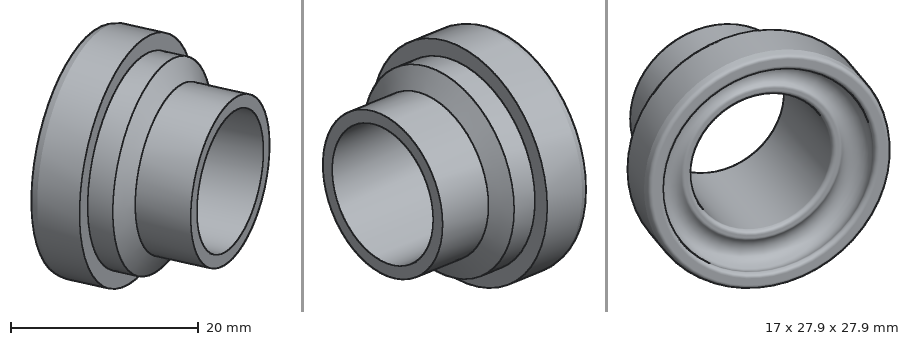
import cadquery as cq
import math

total_length = 17.0
flange_end = 6.0
shoulder_end = 8.98
cone_end = 10.4
rim_taper_end = 0.98

flange_radius = 13.95
shoulder_radius = 12.0
spigot_radius = 19.0 / 2
bore_radius = 16.0 / 2

edge_radius = 0.5
rim_taper_angle = math.radians(15)
cavity_mouth_radius = 11.97
undercut_angle = math.radians(15)
lip_outer_radius = 8.82
lip_turn = math.radians(40)


def on_circle(center, radius, angle):
    """Point (x, r) on a circle, with the angle measured from the +X direction."""
    return (center[0] + radius * math.cos(angle), center[1] + radius * math.sin(angle))


rim_round_rise = edge_radius * math.cos(rim_taper_angle)
rim_round_depth = edge_radius * (1 - math.sin(rim_taper_angle))
taper_rise = (rim_taper_end - rim_round_depth) * math.tan(rim_taper_angle)
rim_center = (edge_radius, flange_radius - taper_rise - rim_round_rise)
rim_end_angle = math.pi / 2 + rim_taper_angle
rim_mid_angle = (math.pi + rim_end_angle) / 2

mouth_center = (edge_radius, cavity_mouth_radius + edge_radius)
mouth_end_angle = undercut_angle - math.pi / 2
mouth_mid_angle = (mouth_end_angle - math.pi) / 2
mouth_end = on_circle(mouth_center, edge_radius, mouth_end_angle)

cavity_end_radius = lip_outer_radius + edge_radius * math.sin(lip_turn)
cavity_radius = (mouth_end[1] - cavity_end_radius) / (math.cos(undercut_angle) + math.sin(lip_turn))
cavity_center = (
    mouth_end[0] + cavity_radius * math.sin(undercut_angle),
    mouth_end[1] - cavity_radius * math.cos(undercut_angle),
)
cavity_mid_angle = (math.pi / 2 + undercut_angle - lip_turn) / 2
cavity_end = on_circle(cavity_center, cavity_radius, -lip_turn)

lip_face = cavity_end[0] - edge_radius * (1 - math.cos(lip_turn))
lip_center = (lip_face + edge_radius, lip_outer_radius)
bore_edge_center = (lip_face + edge_radius, bore_radius + edge_radius)

section = (
    cq.Workplane("XY")
    .moveTo(0, rim_center[1])
    .threePointArc(
        on_circle(rim_center, edge_radius, rim_mid_angle),
        on_circle(rim_center, edge_radius, rim_end_angle),
    )
    .lineTo(rim_taper_end, flange_radius)
    .lineTo(flange_end, flange_radius)
    .lineTo(flange_end, shoulder_radius)
    .lineTo(shoulder_end, shoulder_radius)
    .lineTo(cone_end, spigot_radius)
    .lineTo(total_length, spigot_radius)
    .lineTo(total_length, bore_radius)
    .lineTo(bore_edge_center[0], bore_radius)
    .threePointArc(
        on_circle(bore_edge_center, edge_radius, math.radians(225)),
        (lip_face, bore_edge_center[1]),
    )
    .lineTo(lip_face, lip_outer_radius)
    .threePointArc(on_circle(lip_center, edge_radius, math.pi - lip_turn / 2), cavity_end)
    .threePointArc(
        on_circle(cavity_center, cavity_radius, cavity_mid_angle),
        mouth_end,
    )
    .threePointArc(
        on_circle(mouth_center, edge_radius, mouth_mid_angle),
        (0, mouth_center[1]),
    )
    .close()
)

result = section.revolve(360, (0, 0, 0), (1, 0, 0))